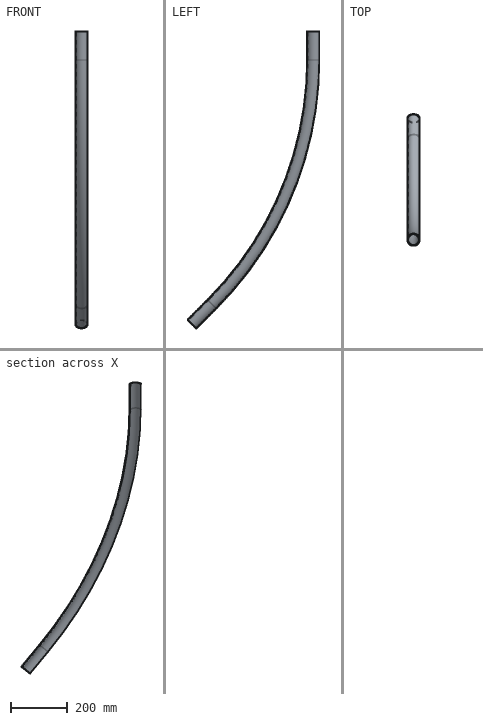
import cadquery as cq
import math

outer_diameter = 44.0
inner_diameter = 38.0
straight_length = 100.0
bend_radius = 1224.0
bend_angle = 45.0

bend_radians = math.radians(bend_angle)
bend_end = (
    0,
    bend_radius * (1 - math.cos(bend_radians)),
    -bend_radius * math.sin(bend_radians),
)
end_direction = (0, math.sin(bend_radians), -math.cos(bend_radians))


def tube_section(plane):
    """Ring-shaped cross-section of the tube on the given plane."""
    return cq.Workplane(plane).circle(outer_diameter / 2).circle(inner_diameter / 2)


def straight_run(origin, direction):
    """Straight tube leaving the origin along the direction."""
    plane = cq.Plane(origin=origin, xDir=(1, 0, 0), normal=direction)
    return tube_section(plane).extrude(straight_length)


def bend():
    """Curved tube, revolved about the X-parallel axis through the bend centre."""
    return tube_section("XY").revolve(bend_angle, (0, bend_radius, 0), (1, bend_radius, 0))


upper_run = straight_run((0, 0, 0), (0, 0, 1))
lower_run = straight_run(bend_end, end_direction)
result = upper_run.union(bend()).union(lower_run)